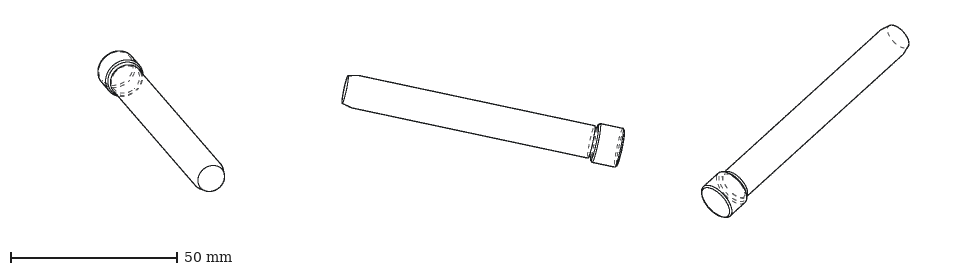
import cadquery as cq
import math

total_length = 85.0
head_radius = 12.0 / 2
head_length = 8.0
head_chamfer = 0.5
shaft_radius = 10.0 / 2

groove_radius = 0.5

tip_length = 3.0
tip_angle = 14.0
tip_radius = shaft_radius - tip_length * math.tan(math.radians(tip_angle))

groove_center = head_length + groove_radius
shaft_start = groove_center + groove_radius
shaft_end = total_length - tip_length

half_profile = (
    cq.Workplane("XY")
    .moveTo(0, 0)
    .lineTo(0, head_radius - head_chamfer)
    .lineTo(head_chamfer, head_radius)
    .lineTo(head_length - head_chamfer, head_radius)
    .lineTo(head_length, head_radius - head_chamfer)
    .lineTo(head_length, shaft_radius)
    .threePointArc((groove_center, shaft_radius - groove_radius), (shaft_start, shaft_radius))
    .lineTo(shaft_end, shaft_radius)
    .lineTo(total_length, tip_radius)
    .lineTo(total_length, 0)
    .close()
)

result = half_profile.revolve(360, (0, 0, 0), (1, 0, 0))